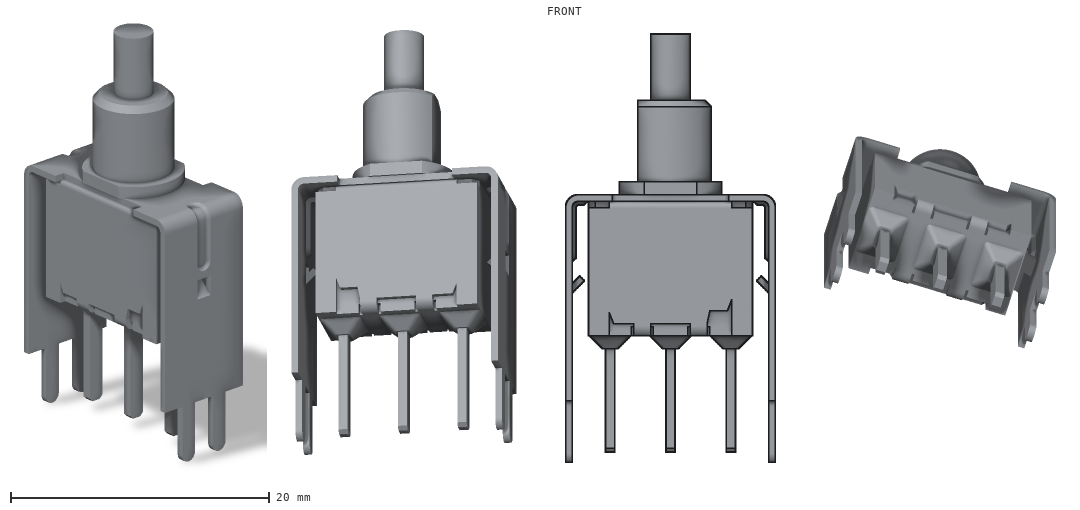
import cadquery as cq
import math

overall_height = 33.2

bracket_length = 16.25
bracket_width = 8.13
bracket_top = 20.75
sheet = 0.53
bend_radius = 1.0
leg_bottom = 4.78
notch_length = 9.03
notch_edge_y = 3.2
pin_width = 1.33
pin_spacing = 3.2

bead_width = 1.35
bead_floor_width = 0.85
groove_depth = 0.25
ridge_depth = 0.3
bead_bottom = 15.55

window_bottom = 13.35
window_height = 1.63
tongue_rise = 1.1
tongue_width = bead_width

housing_length = 12.7
housing_depth = 6.75
housing_bottom = 9.8
column_top = 19.7
shoulder_chamfer = 0.53

cover_length = 9.5
cover_low_edge = 10.75
cover_left_corner = 11.58
cover_step_edge = 11.75
cover_right_corner = 12.6
cover_corner_inset = 0.33
cover_step_x = 3.05
tab_centre = 2.2
tab_width = 1.3
tab_bend_radius = 0.73
tab_reach = 1.05
slot_width = 1.73
slot_height = 0.7

terminal_pitch = 4.68
terminal_thickness = 0.73
terminal_width = 1.33
terminal_bottom = 0.8
terminal_chamfer = 0.3
seal_margin = 0.23
seal_height = 1.0
seal_edge_radius = 0.4

collar_diameter = 7.95
collar_flat_width = 6.85
collar_height = 1.0
bushing_diameter = 6.35
bushing_top = 28.05
bushing_chamfer = 0.5
bushing_flat_x = -2.55
plunger_diameter = 3.1

half_length = bracket_length / 2
inner_face_x = half_length - sheet
bracket_underside = bracket_top - sheet
column_face_y = housing_depth / 2
recess_face_y = column_face_y - sheet
cover_end_x = cover_length / 2
cover_bend_radius = bracket_underside - column_top
collar_top = bracket_top + collar_height


def block(x_range, y_range, z_range):
    """Box given by its lower and upper limit along each axis."""
    size = [high - low for low, high in (x_range, y_range, z_range)]
    corner = (x_range[0], y_range[0], z_range[0])
    return cq.Workplane("XY").box(*size, centered=False).translate(corner)


def centred_block(length, depth, z_low, z_high):
    return block((-length / 2, length / 2), (-depth / 2, depth / 2), (z_low, z_high))


def both_ends(shape):
    """A shape on the -X side together with its mirror image on the +X side."""
    return shape.union(shape.mirror("YZ"))


def channel():
    """Bent strip with notched top edges and two round-ended pins under each leg."""
    outer = centred_block(bracket_length, bracket_width, leg_bottom, bracket_top)
    outer = outer.edges("|Y and >Z").fillet(bend_radius)
    inner = centred_block(2 * inner_face_x, bracket_width, leg_bottom, bracket_underside)
    inner = inner.edges("|Y and >Z").fillet(bend_radius - sheet)
    strip = outer.cut(inner)
    for side in (-1, 1):
        edges = sorted((side * notch_edge_y, side * bracket_width))
        notch = block((-notch_length / 2, notch_length / 2), edges, (bracket_underside, bracket_top))
        strip = strip.cut(notch)

    pin_radius = pin_width / 2
    for y in (-pin_spacing / 2, pin_spacing / 2):
        pin = (
            cq.Workplane("YZ", origin=(-half_length, y, 0))
            .moveTo(-pin_radius, leg_bottom)
            .lineTo(-pin_radius, pin_radius)
            .threePointArc((0, 0), (pin_radius, pin_radius))
            .lineTo(pin_radius, leg_bottom)
            .close()
            .extrude(sheet)
        )
        strip = strip.union(both_ends(pin))
    return strip


def bead(start_depth, depth):
    """Tapered bead on the -X bend, running inward from start_depth below the outer surface."""
    outer_half = bead_width / 2
    floor_half = bead_floor_width / 2
    end_depth = start_depth + depth
    bend_x = -half_length + bend_radius
    bend_z = bracket_top - bend_radius
    straight_length = bend_z - (bead_bottom + outer_half)

    outer_x = -half_length + start_depth
    floor_x = -half_length + end_depth
    section = [
        (outer_x, -outer_half),
        (floor_x, -floor_half),
        (floor_x, floor_half),
        (outer_x, outer_half),
    ]
    plane = cq.Workplane("XY", origin=(0, 0, bend_z))
    straight = plane.polyline(section).close().extrude(-straight_length)
    bend = plane.polyline(section).close().revolve(90, (bend_x, 0, 0), (bend_x, 1, 0))

    def round_end(centre, inward):
        cone = cq.Solid.makeCone(outer_half, floor_half, depth, cq.Vector(*centre), cq.Vector(*inward))
        return cq.Workplane(cone)

    lower_end = round_end((outer_x, 0, bead_bottom + outer_half), (1, 0, 0))
    upper_end = round_end((bend_x, 0, bracket_top - start_depth), (0, 0, -1))
    return straight.union(bend).union(lower_end).union(upper_end)


def tongue():
    """Tongue of sheet rising inward from the lower edge of the -X window."""
    offset = sheet / math.sqrt(2)
    tip = (-half_length + tongue_rise, window_bottom + tongue_rise)
    root_z = window_bottom + sheet - 2 * offset
    outline = [
        (-half_length, window_bottom),
        tip,
        (tip[0] + offset, tip[1] - offset),
        (-inner_face_x, root_z),
    ]
    profile = cq.Workplane("XZ").polyline(outline).close()
    return profile.extrude(tongue_width / 2, both=True)


def bracket():
    half_window = tongue_width / 2
    window = block(
        (-half_length, -inner_face_x),
        (-half_window, half_window),
        (window_bottom, window_bottom + window_height),
    )
    body = channel().union(both_ends(bead(sheet, ridge_depth)))
    body = body.cut(both_ends(bead(0, groove_depth)))
    body = body.cut(both_ends(window))
    return body.union(both_ends(tongue()))


def housing_body():
    """Columns, recessed middle and the narrower shoulder under the bracket."""
    core = centred_block(housing_length, 2 * recess_face_y, housing_bottom, column_top)
    shoulder = centred_block(housing_length, 2 * recess_face_y, column_top, bracket_underside)
    shoulder = shoulder.edges("|Z").chamfer(shoulder_chamfer)
    column = block(
        (-housing_length / 2, -cover_end_x),
        (-column_face_y, column_face_y),
        (housing_bottom, column_top),
    )
    return core.union(shoulder).union(both_ends(column))


def cover():
    """Cover plate on the -Y side, rounded over at the top."""
    tab_edge = tab_centre + tab_width / 2
    corner_x = cover_end_x - cover_corner_inset
    outline = [
        (-cover_end_x, bracket_underside),
        (-cover_end_x, cover_left_corner),
        (-corner_x, cover_low_edge),
        (tab_edge, cover_low_edge),
        (cover_step_x, cover_step_edge),
        (corner_x, cover_step_edge),
        (cover_end_x, cover_right_corner),
        (cover_end_x, bracket_underside),
    ]
    plate = (
        cq.Workplane("XZ", origin=(0, -recess_face_y, 0))
        .polyline(outline)
        .close()
        .extrude(sheet)
    )
    return plate.edges("|X and >Z and <Y").fillet(cover_bend_radius)


def tab(x):
    """Tab running down from the -Y cover and curling under the housing."""
    piece = block(
        (x - tab_width / 2, x + tab_width / 2),
        (-column_face_y, -column_face_y + tab_reach),
        (housing_bottom, cover_low_edge),
    )
    return piece.edges("|X and <Z and <Y").fillet(tab_bend_radius)


def housing():
    body = housing_body()
    for x in (-tab_centre, tab_centre):
        slot = block(
            (x - slot_width / 2, x + slot_width / 2),
            (-column_face_y, -column_face_y + tab_reach),
            (housing_bottom, housing_bottom + slot_height),
        )
        body = body.cut(slot).cut(slot.mirror("XZ"))
    front = cover().union(tab(-tab_centre)).union(tab(tab_centre))
    return body.union(front).union(front.mirror("XZ"))


def terminal(x):
    """Flat terminal with a chamfered tip and a 45-degree tapered seal at its root."""
    seal_bottom = housing_bottom - seal_height
    blade = centred_block(terminal_thickness, terminal_width, terminal_bottom, housing_bottom)
    blade = blade.edges("|X and <Z").chamfer(terminal_chamfer)
    seal_tip_length = terminal_thickness + 2 * seal_margin
    seal_tip_width = terminal_width + 2 * seal_margin
    seal = (
        cq.Workplane("XY", origin=(0, 0, seal_bottom))
        .rect(seal_tip_length, seal_tip_width)
        .workplane(offset=seal_height)
        .rect(seal_tip_length + 2 * seal_height, seal_tip_width + 2 * seal_height)
        .loft()
    )
    seal = seal.edges("not #Z").fillet(seal_edge_radius)
    return blade.union(seal).translate((x, 0, 0))


def actuator():
    """Two-flat collar, chamfered bushing with a flat on its -X side, and plunger."""
    collar = cq.Workplane("XY", origin=(0, 0, bracket_top)).circle(collar_diameter / 2)
    collar = collar.extrude(collar_height)
    between_flats = centred_block(collar_diameter, collar_flat_width, bracket_top, collar_top)
    collar = collar.intersect(between_flats)
    bushing = cq.Workplane("XY", origin=(0, 0, collar_top)).circle(bushing_diameter / 2)
    bushing = bushing.extrude(bushing_top - collar_top).faces(">Z").chamfer(bushing_chamfer)
    bushing_radius = bushing_diameter / 2
    kept_side = block(
        (bushing_flat_x, bushing_radius),
        (-bushing_radius, bushing_radius),
        (collar_top, bushing_top),
    )
    bushing = bushing.intersect(kept_side)
    plunger = cq.Workplane("XY", origin=(0, 0, bushing_top)).circle(plunger_diameter / 2)
    plunger = plunger.extrude(overall_height - bushing_top)
    return collar.union(bushing).union(plunger)


result = bracket().union(housing()).union(actuator())
for position in (-terminal_pitch, 0, terminal_pitch):
    result = result.union(terminal(position))